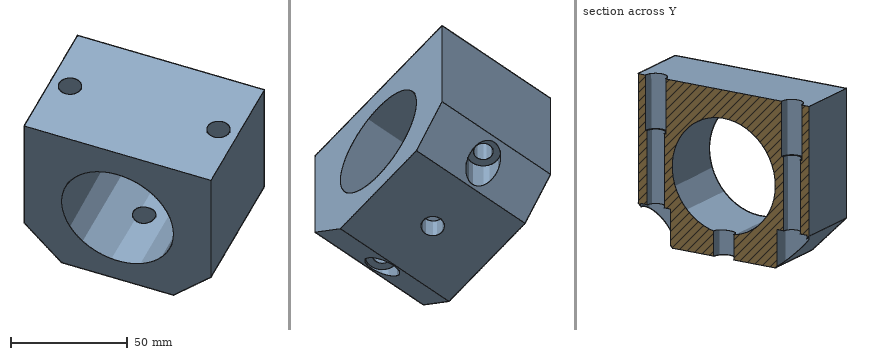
import cadquery as cq

width = 87.0
depth = 60.0
height = 76.0
corner_chamfer = 17.5

bore_diameter = 52.0
bore_center_height = 37.1

mount_hole_offset = 34.5
clearance_diameter = 8.4
upper_diameter = 10.0
upper_depth = 25.0
screw_head_diameter = 15.0
screw_seat_height = corner_chamfer

bottom_hole_diameter = upper_diameter


def vertical_cylinder(x, diameter, bottom, top):
    """Cylinder along Z on the mid-depth plane."""
    return cq.Workplane("XY", origin=(x, 0, bottom)).circle(diameter / 2).extrude(top - bottom)


def make_block():
    """Rectangular block with its two lower long edges chamfered."""
    block = cq.Workplane("XY").box(width, depth, height, centered=(True, True, False))
    return block.faces("<Z").edges("|Y").chamfer(corner_chamfer)


def make_bore():
    """Cylinder that cuts the main bore through the full depth."""
    plane = cq.Workplane("XZ", origin=(0, 0, bore_center_height))
    return plane.circle(bore_diameter / 2).extrude(depth / 2, both=True)


def make_mount_hole(x):
    """Stepped through hole: wide at the top, screw head recess at the bottom."""
    clearance = vertical_cylinder(x, clearance_diameter, 0, height)
    upper = vertical_cylinder(x, upper_diameter, height - upper_depth, height)
    head_recess = vertical_cylinder(x, screw_head_diameter, 0, screw_seat_height)
    return clearance.union(upper).union(head_recess)


result = make_block().cut(make_bore())
for side in (-1, 1):
    result = result.cut(make_mount_hole(side * mount_hole_offset))
result = result.cut(vertical_cylinder(0, bottom_hole_diameter, 0, bore_center_height))